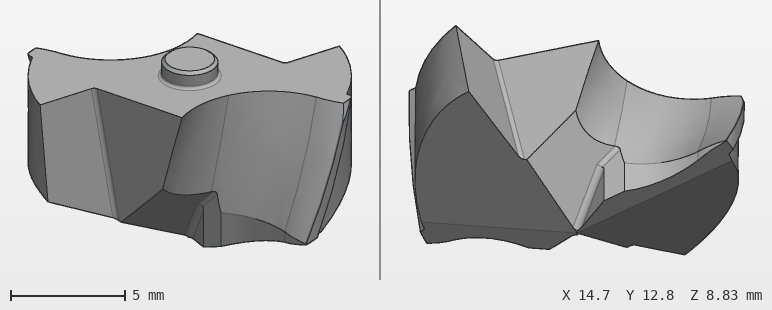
import cadquery as cq
import math


HEAD_HEIGHT = 8.01
MARGIN_RADIUS = 7.35
CLEARANCE_RADIUS = 7.09
CUTTER_REACH = 22.05

TWIST_HEIGHT = 5.53
TWIST_ANGLE = 25.5
MARGIN_START_ANGLE = 5.0
MARGIN_END_ANGLE = 20.3
MARGIN_STEP_ANGLE = 22.0

POCKET_WALL_Y = 3.34
POCKET_CORNER_X = -2.75
POCKET_SIDE_RUN = 0.38
POCKET_SIDE_LEAN = 0.19
POCKET_CORNER_RADIUS = 0.22

LIP_SLOPE = 0.35
LIP_RELIEF = 0.07
HEEL_RELIEF = 0.39

GASH_SLOPE_X = 1.055
GASH_SLOPE_Y = -0.94
GASH_BEND_X = 1.59
GASH_WALL_Y = -1.18
GASH_END_X = 3.23
GASH_CORNER_RADIUS = 0.3

MARGIN_CUT_X = 6.95
MARGIN_CUT_SLOPE = 0.33

PIN_RADIUS = 1.23
PIN_HEIGHT = 0.82
PIN_CHAMFER = 0.15
PIN_FLARE = 0.15


def polar(radius, degrees):
    angle = math.radians(degrees)
    return radius * math.cos(angle), radius * math.sin(angle)


def half_turn(shape):
    return shape.rotate((0, 0, 0), (0, 0, 1), 180)


def both_sides(shape):
    return [shape, half_turn(shape)]


def slab(origin, normal):
    """Large block filling the side of a plane that its normal points into."""
    plane = cq.Plane(origin=origin, normal=normal)
    return cq.Workplane(plane).rect(2 * CUTTER_REACH, 2 * CUTTER_REACH).extrude(CUTTER_REACH)


def column(points):
    """Tall vertical prism through the whole head."""
    base = cq.Workplane("XY").workplane(offset=-CUTTER_REACH)
    return base.polyline(points).close().extrude(2 * CUTTER_REACH)


def helical(draw_profile):
    """Sweep a profile, drawn as it appears at Z = 0, down the helix and then straight."""
    base = cq.Workplane("XY", origin=(0, 0, -TWIST_HEIGHT))
    turned = base.transformed(rotate=(0, 0, -TWIST_ANGLE))
    twisted = draw_profile(turned).twistExtrude(TWIST_HEIGHT, TWIST_ANGLE)
    straight = draw_profile(turned).extrude(TWIST_HEIGHT - HEAD_HEIGHT)
    return twisted.union(straight)


def blank_profile(plane):
    """Clearance circle with two raised margins."""
    outline = plane.moveTo(*polar(CLEARANCE_RADIUS, MARGIN_START_ANGLE))
    for turn in (0, 180):
        start = MARGIN_START_ANGLE + turn
        end = MARGIN_END_ANGLE + turn
        foot = MARGIN_STEP_ANGLE + turn
        next_start = start + 180
        outline = (
            outline.lineTo(*polar(MARGIN_RADIUS, start))
            .threePointArc(polar(MARGIN_RADIUS, (start + end) / 2), polar(MARGIN_RADIUS, end))
            .lineTo(*polar(CLEARANCE_RADIUS, foot))
            .threePointArc(
                polar(CLEARANCE_RADIUS, (foot + next_start) / 2),
                polar(CLEARANCE_RADIUS, next_start),
            )
        )
    return outline.close()


def flute_profile(plane):
    """Hollow flute curve with a slight reverse bend towards the margin."""
    return (
        plane.moveTo(2.19, -4.07)
        .threePointArc((1.91, -2.2), (2.44, -0.49))
        .tangentArcPoint((5.66, 1.62), relative=False)
        .threePointArc((6.25, 1.68), (7.05, 1.88))
        .lineTo(8.82, 2.2)
        .lineTo(8.82, -4.07)
        .close()
    )


def pocket():
    side = slab(
        (POCKET_CORNER_X, -POCKET_WALL_Y, 0), (1, -POCKET_SIDE_RUN, POCKET_SIDE_LEAN)
    )
    wall = slab((0, -POCKET_WALL_Y, 0), (0, -1, 0))
    corner = cq.NearestToPointSelector((POCKET_CORNER_X, -POCKET_WALL_Y, 0))
    return side.intersect(wall).edges(corner).fillet(POCKET_CORNER_RADIUS)


def flanks():
    """Material below the lip and heel planes on the -X half."""
    tip = (0, 0, -HEAD_HEIGHT)
    lip = slab(tip, (-LIP_SLOPE, -LIP_RELIEF, -1))
    heel = slab(tip, (-LIP_SLOPE, -HEEL_RELIEF, -1))
    return lip.union(heel).intersect(slab((0, 0, 0), (-1, 0, 0)))


def gash():
    outline = [
        (0, 0),
        (GASH_BEND_X, GASH_WALL_Y),
        (GASH_END_X, GASH_WALL_Y),
        (GASH_END_X, -MARGIN_RADIUS),
        (-MARGIN_RADIUS, -MARGIN_RADIUS),
        (-MARGIN_RADIUS, 0),
    ]
    below = slab((0, 0, -HEAD_HEIGHT), (GASH_SLOPE_X, GASH_SLOPE_Y, -1))
    cutter = column(outline).intersect(below)
    inner_bend = (GASH_BEND_X / 2, GASH_WALL_Y / 2)
    outer_bend = ((GASH_BEND_X + GASH_END_X) / 2, GASH_WALL_Y)
    corners = cutter.newObject([])
    for x, y in (inner_bend, outer_bend):
        z = GASH_SLOPE_X * x + GASH_SLOPE_Y * y - HEAD_HEIGHT
        corners = corners.add(cutter.edges(cq.NearestToPointSelector((x, y, z))))
    return corners.fillet(GASH_CORNER_RADIUS)


def pin():
    flare = PIN_RADIUS + PIN_FLARE
    return (
        cq.Workplane("XZ")
        .lineTo(flare, 0)
        .radiusArc((PIN_RADIUS, PIN_FLARE), PIN_FLARE)
        .lineTo(PIN_RADIUS, PIN_HEIGHT - PIN_CHAMFER)
        .lineTo(PIN_RADIUS - PIN_CHAMFER, PIN_HEIGHT)
        .lineTo(0, PIN_HEIGHT)
        .close()
        .revolve(360, (0, 0, 0), (0, 1, 0))
    )


head = helical(blank_profile)
margin_cut = slab((MARGIN_CUT_X, 0, 0), (1, 0, MARGIN_CUT_SLOPE))
for cutter in (helical(flute_profile), pocket(), flanks(), gash(), margin_cut):
    for placed in both_sides(cutter):
        head = head.cut(placed)

result = head.union(pin())